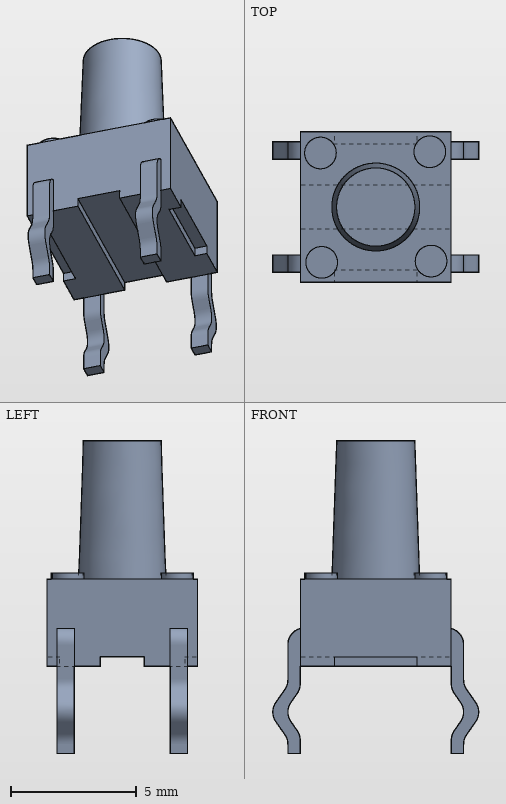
import cadquery as cq
import math

housing_side = 6.0
housing_bottom = 3.47
housing_height = 3.47
total_height = 12.45
housing_top = housing_bottom + housing_height

channel_height = 0.37
cross_slot_width = 1.75
recess_width = 3.3
recess_depth = 0.5

rivet_diameter = 1.26
rivet_height = 0.25
rivet_x = 2.2
rivet_y = 2.15
rivet_count = 4

plunger_base_diameter = 3.5
plunger_draft = 2.0
plunger_height = total_height - housing_top

lead_thickness = 0.5
lead_width = 0.7
lead_pitch = 4.5
lead_top = 5.0
lead_embed = 1.0
lead_bend_radius = 0.67
kink_center = 1.65
kink_reach = 0.6
kink_angle = math.radians(35.0)


def make_housing():
    """Square housing with a through slot along X and a recess in the front and back faces."""
    housing = (
        cq.Workplane("XY")
        .workplane(offset=housing_bottom)
        .rect(housing_side, housing_side)
        .extrude(housing_height)
    )
    channel_plane = cq.Workplane("XY").workplane(offset=housing_bottom)
    cross_slot = channel_plane.rect(housing_side, cross_slot_width).extrude(channel_height)
    recess_offset = (housing_side - recess_depth) / 2
    recesses = (
        channel_plane.pushPoints([(0, -recess_offset), (0, recess_offset)])
        .rect(recess_width, recess_depth)
        .extrude(channel_height)
    )
    return housing.cut(cross_slot).cut(recesses)


def make_plunger():
    """Round plunger that narrows towards its flat top."""
    return (
        cq.Workplane("XY")
        .workplane(offset=housing_top)
        .circle(plunger_base_diameter / 2)
        .extrude(plunger_height, taper=plunger_draft)
    )


def make_rivets():
    """Rivet heads spaced evenly around the plunger axis."""
    return (
        cq.Workplane("XY")
        .workplane(offset=housing_top)
        .polarArray(
            math.hypot(rivet_x, rivet_y),
            math.degrees(math.atan2(rivet_y, -rivet_x)),
            360,
            rivet_count,
        )
        .circle(rivet_diameter / 2)
        .extrude(rivet_height)
    )


def make_lead(center_y):
    """Lead on the +X side: leaves the housing, turns down and kinks outwards once."""
    inner_x = housing_side / 2
    outer_x = inner_x + lead_thickness
    root_x = inner_x - lead_embed

    rounding_loss = lead_bend_radius * (1 / math.cos(kink_angle) - 1)
    sharp_reach = kink_reach + rounding_loss
    outer_half_span = sharp_reach / math.tan(kink_angle)
    inner_half_span = outer_half_span - lead_thickness * math.tan(kink_angle / 2)
    outer_peak_x = outer_x + sharp_reach
    inner_peak_x = outer_peak_x - lead_thickness / math.cos(kink_angle)

    outer_kink = [
        (outer_x, kink_center + outer_half_span),
        (outer_peak_x, kink_center),
        (outer_x, kink_center - outer_half_span),
    ]
    inner_kink = [
        (inner_x, kink_center - inner_half_span),
        (inner_peak_x, kink_center),
        (inner_x, kink_center + inner_half_span),
    ]
    shoulder = (outer_x, lead_top)
    outline = [
        (root_x, lead_top),
        shoulder,
        *outer_kink,
        (outer_x, 0),
        (inner_x, 0),
        *inner_kink,
        (inner_x, lead_top - lead_thickness),
        (root_x, lead_top - lead_thickness),
    ]
    lead = (
        cq.Workplane("XZ", origin=(0, center_y, 0))
        .polyline(outline)
        .close()
        .extrude(lead_width / 2, both=True)
    )
    for x, z in [shoulder, *outer_kink, *inner_kink]:
        corner_edge = cq.selectors.NearestToPointSelector((x, center_y, z))
        lead = lead.edges("|Y").edges(corner_edge).fillet(lead_bend_radius)
    return lead


result = make_housing().union(make_plunger()).union(make_rivets())
for lead_y in (-lead_pitch / 2, lead_pitch / 2):
    right_lead = make_lead(lead_y)
    result = result.union(right_lead).union(right_lead.mirror("YZ"))